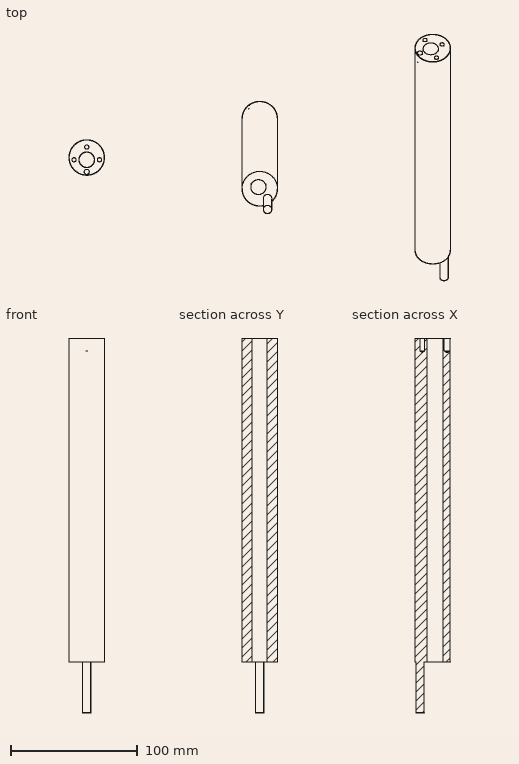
import cadquery as cq
import math

body_diameter = 28.0
body_length = 255.0
top_chamfer = 0.2
pin_diameter = 6.7
pin_length = 40.0
pin_center_y = 10.0

bore_diameter = 12.0
bore_center_y = -1.75
hole_circle_radius = 10.0
small_hole_diameter = 3.3
small_hole_angles = (0, 90, 180)
large_hole_diameter = 4.0
large_hole_center_y = -11.25
hole_depth = 10.0
drill_point_angle = 118.0


def make_body():
    """Round bar standing on Z = 0, its top rim lightly chamfered."""
    bar = cq.Workplane("XY").circle(body_diameter / 2).extrude(body_length)
    return bar.faces(">Z").edges().chamfer(top_chamfer)


def make_pin():
    """Pin hanging below the bottom face, near the +Y edge."""
    return cq.Workplane("XY").center(0, pin_center_y).circle(pin_diameter / 2).extrude(-pin_length)


def make_bore():
    """Through bore along the whole body."""
    return cq.Workplane("XY").center(0, bore_center_y).circle(bore_diameter / 2).extrude(body_length)


def make_drilled_hole(diameter, x, y):
    """Blind hole from the top face with a conical drill point."""
    radius = diameter / 2
    floor_z = body_length - hole_depth
    tip_z = floor_z - radius / math.tan(math.radians(drill_point_angle / 2))
    half_section = [(0, tip_z), (radius, floor_z), (radius, body_length), (0, body_length)]
    drill = cq.Workplane("XZ").polyline(half_section).close().revolve(360, (0, 0, 0), (0, 1, 0))
    return drill.translate((x, y, 0))


def make_small_hole(angle):
    """Small hole on the hole circle, at an angle in degrees from +X."""
    x = hole_circle_radius * math.cos(math.radians(angle))
    y = bore_center_y + hole_circle_radius * math.sin(math.radians(angle))
    return make_drilled_hole(small_hole_diameter, x, y)


result = make_body().union(make_pin()).cut(make_bore())
for hole_angle in small_hole_angles:
    result = result.cut(make_small_hole(hole_angle))
result = result.cut(make_drilled_hole(large_hole_diameter, 0, large_hole_center_y))